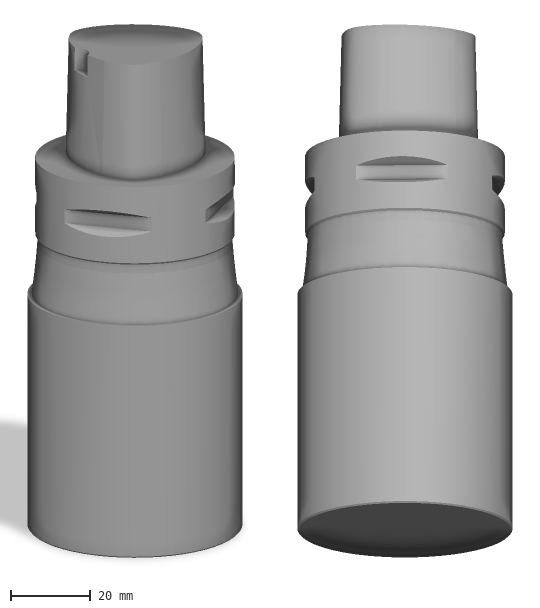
import cadquery as cq
import math

total_height = 127.0
sleeve_height = 61.1
neck_bottom = 74.2
flange_bottom = 76.5
flange_top = 97.0

sleeve_diameter = 54.0
collar_base_diameter = 51.8
neck_diameter = 49.0
flange_diameter = 50.0
sleeve_chamfer = 0.4
flange_chamfer = (flange_diameter - neck_diameter) / 2

shank_base_width = 35.0
shank_taper = 1 / 20
lobe_height = 1.4
flat_half_angle = 22.0
points_per_side = 8

notch_radius = 4.5
notch_inner_y = -13.5
notch_depth = 5.8

groove_count = 4
groove_height = 87.0
groove_floor_distance = 22.2
groove_floor_width = 3.5
groove_wall_angle = 30.0


def lobed_point(width, angle_degrees, z):
    """Point of a constant-width curve whose outward normal has the given angle."""
    angle = math.radians(angle_degrees)
    lobe_phase = 3 * (angle - math.pi / 2)
    support = width / 2 + lobe_height * math.cos(lobe_phase)
    slope = -3 * lobe_height * math.sin(lobe_phase)
    x = support * math.cos(angle) - slope * math.sin(angle)
    y = support * math.sin(angle) + slope * math.cos(angle)
    return cq.Vector(x, y, z)


def lobed_wire(width, z):
    """Closed section of three flatter sides and three rounded corners."""
    edges = []
    for side_angle in (30, 150, 270):
        start = side_angle - flat_half_angle
        middle = side_angle + flat_half_angle
        for first, last in ((start, middle), (middle, start + 120)):
            step = (last - first) / points_per_side
            points = [lobed_point(width, first + i * step, z) for i in range(points_per_side + 1)]
            tangents = [
                cq.Vector(-math.sin(math.radians(a)), math.cos(math.radians(a)), 0)
                for a in (first, last)
            ]
            edges.append(cq.Edge.makeSpline(points, tangents=tangents))
    return cq.Wire.assembleEdges(edges)


def make_shank():
    """Tapered lobed shank with its round notch."""
    shank_length = total_height - flange_top
    shank_top_width = shank_base_width - shank_taper * shank_length
    base = lobed_wire(shank_base_width, flange_top)
    top = lobed_wire(shank_top_width, total_height)
    shank = cq.Workplane(cq.Solid.makeLoft([base, top], True))
    notch = (
        cq.Workplane("XY", origin=(0, notch_inner_y - notch_radius, total_height - notch_depth))
        .circle(notch_radius)
        .extrude(notch_depth)
    )
    return shank.cut(notch)


def make_collar():
    """Turned flange, neck and flared foot."""
    profile = [
        (0, sleeve_height),
        (collar_base_diameter / 2, sleeve_height),
        (neck_diameter / 2, neck_bottom),
        (neck_diameter / 2, flange_bottom),
        (flange_diameter / 2, flange_bottom + flange_chamfer),
        (flange_diameter / 2, flange_top),
        (0, flange_top),
    ]
    return cq.Workplane("XZ").polyline(profile).close().revolve(360, (0, 0), (0, 1))


def make_groove_cutter():
    """Straight groove with a flat floor and leaning walls, open toward +X."""
    outer_distance = flange_diameter / 2 + 1.3
    wall_spread = (outer_distance - groove_floor_distance) * math.tan(math.radians(groove_wall_angle))
    floor_half = groove_floor_width / 2
    outer_half = floor_half + wall_spread
    return (
        cq.Workplane("XZ", origin=(0, 0, groove_height))
        .polyline([
            (groove_floor_distance, -floor_half),
            (outer_distance, -outer_half),
            (outer_distance, outer_half),
            (groove_floor_distance, floor_half),
        ])
        .close()
        .extrude(flange_diameter / 2, both=True)
    )


def make_adapter():
    """Collar and shank in one piece, with gripper grooves cut at 45 degrees to the axes."""
    adapter = make_collar().union(make_shank())
    cutter = make_groove_cutter()
    pitch = 360 / groove_count
    for i in range(groove_count):
        adapter = adapter.cut(cutter.rotate((0, 0, 0), (0, 0, 1), (i + 0.5) * pitch))
    return adapter


def make_sleeve():
    """Plain cylindrical body below the adapter, chamfered at its lower edge."""
    return (
        cq.Workplane("XY")
        .circle(sleeve_diameter / 2)
        .extrude(sleeve_height)
        .faces("<Z")
        .chamfer(sleeve_chamfer)
    )


adapter = make_adapter()
sleeve = make_sleeve()

result = cq.Compound.makeCompound([adapter.solids().val(), sleeve.val()])